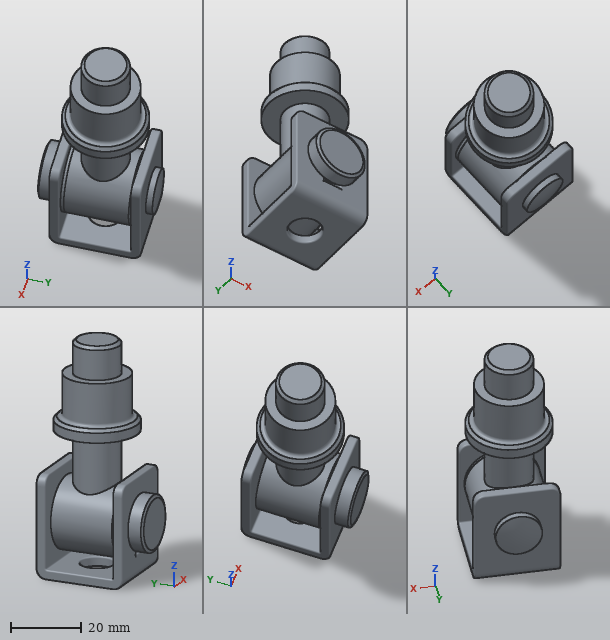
import cadquery as cq

BRACKET_WIDTH = 25.0
BRACKET_HEIGHT = 31.0
BRACKET_GAP = 21.0
STRIP_THICKNESS = 3.0
BRACKET_DEPTH = BRACKET_GAP + 2 * STRIP_THICKNESS
OUTER_RADIUS = 3.0
INNER_BEND_RADIUS = 0.5
EDGE_RADIUS = 0.5
FLOOR_HOLE_DIAMETER = 10.0
NOTCH_WIDTH = 5.6
NOTCH_REACH = 9.0

PIN_HEIGHT = 17.0
PIN_DIAMETER = 11.3
HEAD_DIAMETER = 17.0
HEAD_LENGTH = 4.5
HEAD_BEVEL_RADIAL = 1.0
HEAD_BEVEL_AXIAL = 0.5

CAP_DIAMETER = 13.5
CAP_RIM = 1.95
DOME_HEIGHT = 0.9

EYE_DIAMETER = 22.0
SPACER_THICKNESS = 1.0
EYE_LENGTH = BRACKET_GAP - 2 * SPACER_THICKNESS
SHANK_DIAMETER = 14.0
SHANK_TOP = 70.0
SHANK_CHAMFER = 1.0

FLANGE_BOTTOM = 43.0
FLANGE_DIAMETER = 25.0
FLANGE_THICKNESS = 4.0
FLANGE_CHAMFER = 1.0
SLEEVE_DIAMETER = 20.0
SLEEVE_TOP = 60.0
SLEEVE_FILLET = 1.0


def y_cylinder(diameter, front, rear):
    """Cylinder on the pin axis, from y = front to y = rear."""
    disc = cq.Workplane("XZ", origin=(0, front, PIN_HEIGHT)).circle(diameter / 2)
    return disc.extrude(front - rear)


def make_bracket():
    strip = (
        cq.Workplane("XY")
        .box(BRACKET_WIDTH, BRACKET_DEPTH, BRACKET_HEIGHT, centered=(True, True, False))
        .edges("|X and <Z")
        .fillet(OUTER_RADIUS)
        .edges("|Y and >Z")
        .fillet(OUTER_RADIUS)
    )
    opening = (
        cq.Workplane("XY", origin=(0, 0, STRIP_THICKNESS))
        .box(BRACKET_WIDTH, BRACKET_GAP, BRACKET_HEIGHT, centered=(True, True, False))
        .edges("|X and <Z")
        .fillet(INNER_BEND_RADIUS)
    )
    floor_hole = cq.Workplane("XY").circle(FLOOR_HOLE_DIAMETER / 2).extrude(STRIP_THICKNESS)
    bracket = strip.cut(opening).cut(floor_hole)
    bracket = bracket.edges("not |X").fillet(EDGE_RADIUS)

    front_face = -BRACKET_DEPTH / 2
    notch = cq.Workplane("XY", origin=(0, front_face, PIN_HEIGHT - NOTCH_REACH)).box(
        NOTCH_WIDTH, STRIP_THICKNESS, NOTCH_REACH, centered=(True, False, False)
    )
    bracket = bracket.cut(notch)
    notch_rim = cq.selectors.BoxSelector(
        (-NOTCH_WIDTH, front_face - EDGE_RADIUS, PIN_HEIGHT - NOTCH_REACH - EDGE_RADIUS),
        (NOTCH_WIDTH, front_face + EDGE_RADIUS, PIN_HEIGHT + EDGE_RADIUS),
    )
    bracket = bracket.edges(notch_rim).fillet(EDGE_RADIUS)
    return bracket.cut(y_cylinder(PIN_DIAMETER, front_face, -front_face))


def make_pin():
    leg_face = -BRACKET_DEPTH / 2
    head_front = leg_face - HEAD_LENGTH
    head = y_cylinder(HEAD_DIAMETER, head_front, leg_face)
    head = head.faces("<Y").chamfer(HEAD_BEVEL_AXIAL, HEAD_BEVEL_RADIAL)
    return head.union(y_cylinder(PIN_DIAMETER, leg_face, BRACKET_DEPTH / 2))


def make_cap():
    """Disc against the rear leg, its outer face a shallow dome over the full diameter."""
    radius = CAP_DIAMETER / 2
    dome_radius = (radius**2 + DOME_HEIGHT**2) / (2 * DOME_HEIGHT)
    base = BRACKET_DEPTH / 2
    tip = base + CAP_RIM + DOME_HEIGHT
    blank = y_cylinder(CAP_DIAMETER, base, tip)
    dome = cq.Workplane("XY", origin=(0, tip - dome_radius, PIN_HEIGHT)).sphere(dome_radius)
    return blank.intersect(dome)


def make_spacer():
    front = -BRACKET_GAP / 2
    rear = front + SPACER_THICKNESS
    return y_cylinder(EYE_DIAMETER, front, rear).cut(y_cylinder(PIN_DIAMETER, front, rear))


def make_eye_bolt():
    shank = (
        cq.Workplane("XY", origin=(0, 0, PIN_HEIGHT))
        .circle(SHANK_DIAMETER / 2)
        .extrude(SHANK_TOP - PIN_HEIGHT)
        .faces(">Z")
        .chamfer(SHANK_CHAMFER)
    )
    front = -EYE_LENGTH / 2
    rear = EYE_LENGTH / 2
    eye = y_cylinder(EYE_DIAMETER, front, rear)
    return eye.union(shank).cut(y_cylinder(PIN_DIAMETER, front, rear))


def make_sleeve():
    flange = (
        cq.Workplane("XY", origin=(0, 0, FLANGE_BOTTOM))
        .circle(FLANGE_DIAMETER / 2)
        .extrude(FLANGE_THICKNESS)
        .faces(">Z")
        .chamfer(FLANGE_CHAMFER)
    )
    barrel = (
        cq.Workplane("XY", origin=(0, 0, FLANGE_BOTTOM))
        .circle(SLEEVE_DIAMETER / 2)
        .extrude(SLEEVE_TOP - FLANGE_BOTTOM)
    )
    inner_corner = cq.selectors.RadiusNthSelector(0)
    sleeve = flange.union(barrel)
    sleeve = sleeve.faces("|Z").faces(">Z[1]").edges(inner_corner).fillet(SLEEVE_FILLET)
    bore = (
        cq.Workplane("XY", origin=(0, 0, FLANGE_BOTTOM))
        .circle(SHANK_DIAMETER / 2)
        .extrude(SLEEVE_TOP - FLANGE_BOTTOM)
    )
    return sleeve.cut(bore)


bracket = make_bracket()
pin = make_pin()
cap = make_cap()
spacer = make_spacer()
eye_bolt = make_eye_bolt()
sleeve = make_sleeve()

result = cq.Compound.makeCompound(
    [bracket.val(), pin.val(), cap.val(), spacer.val(), eye_bolt.val(), sleeve.val()]
)